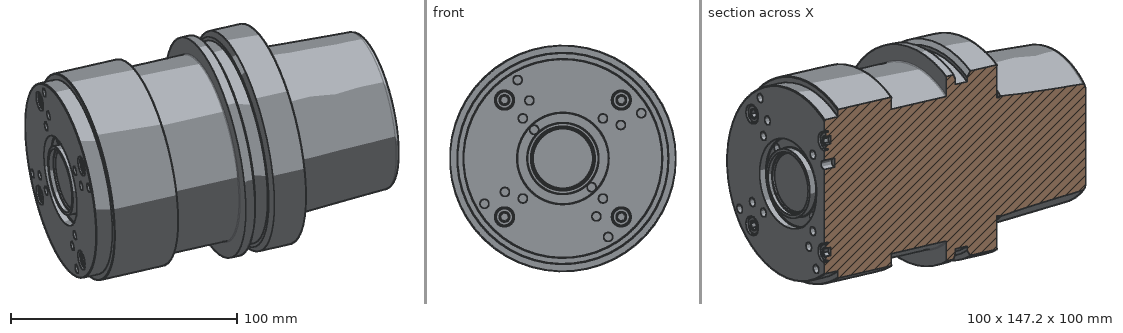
import cadquery as cq
import math

LENGTH = 147.2
Y_FACE = -LENGTH / 2

FACE_DIA = 88.2
COLLAR_DIA = 93.6
NECK_DIA = 84.6
FLANGE_DIA = 100.0
GROOVE_DIA = 92.0
RELIEF_DIA = 75.2
TAPER_BASE_DIA = 76.0
TAPER_RATIO = 0.1

COLLAR_START = 7.7
COLLAR_END = 38.0
FLANGE_START = 68.6
GROOVE_START = 73.9
GROOVE_END = 80.4
FLANGE_END = 97.3
RELIEF_END = 98.2
TAPER_START = 99.0
TAPER_END = 145.1

EDGE = 0.3
ROOT_FILLET = 0.5
GROOVE_CHAMFER_FRONT = (1.0, 1.9)
GROOVE_CHAMFER_REAR = (1.8, 2.4)

RECESS_DIA = 40.8
BOSS_DIA = 31.2
RECESS_DEPTH = 3.7
RECESS_FLOOR_CHAMFER = 0.3
BORE_DIA = 28.5
BORE_STEP_DEPTH = 2.0
BORE_SEAT_DIA = 27.4
BORE_FLOOR_DIA = 26.3
BORE_DEPTH = 2.8

HOLE_DIA = 4.0
HOLE_DEPTH = 5.9
HOLE_CIRCLES = [
    (40.0, 30, 4, 0),
    (29.6, 30, 4, 0),
    (25.0, 45, 4, 0),
    (18.0, 135, 2, RECESS_DEPTH),
]

SCREW_PITCH_RADIUS = 36.5
SCREW_ANGLE = 45
SCREW_COUNT = 4
COUNTERBORE_DIA = 8.7
COUNTERBORE_DEPTH = 2.2
HEAD_DIA = 8.0
HEAD_SINK = 0.7
HEAD_CHAMFER = 0.3
SOCKET_MOUTH_DIA = 4.5
SOCKET_MOUTH_DEPTH = 0.3
SOCKET_CORNER_DIA = 4.0
SOCKET_DEPTH = 3.0


def turned_body():
    """Half profile (radius, distance from the face) revolved about the axis."""
    taper_end_radius = (TAPER_BASE_DIA - TAPER_RATIO * (TAPER_END - TAPER_START)) / 2
    end_round = LENGTH - TAPER_END
    front_axial, front_radial = GROOVE_CHAMFER_FRONT
    rear_axial, rear_radial = GROOVE_CHAMFER_REAR
    flange_radius = FLANGE_DIA / 2
    collar_radius = COLLAR_DIA / 2
    round_middle = end_round * math.sqrt(0.5)

    profile = (
        cq.Workplane("XY", origin=(0, Y_FACE, 0))
        .moveTo(0, 0)
        .lineTo(FACE_DIA / 2 - EDGE, 0)
        .lineTo(FACE_DIA / 2, EDGE)
        .lineTo(FACE_DIA / 2, COLLAR_START)
        .lineTo(collar_radius - EDGE, COLLAR_START)
        .lineTo(collar_radius, COLLAR_START + EDGE)
        .lineTo(collar_radius, COLLAR_END - EDGE)
        .lineTo(collar_radius - EDGE, COLLAR_END)
        .lineTo(NECK_DIA / 2, COLLAR_END)
        .lineTo(NECK_DIA / 2, FLANGE_START - ROOT_FILLET)
        .radiusArc((NECK_DIA / 2 + ROOT_FILLET, FLANGE_START), ROOT_FILLET)
        .lineTo(flange_radius, FLANGE_START)
        .lineTo(flange_radius, GROOVE_START - front_axial)
        .lineTo(flange_radius - front_radial, GROOVE_START)
        .lineTo(GROOVE_DIA / 2, GROOVE_START)
        .lineTo(GROOVE_DIA / 2, GROOVE_END)
        .lineTo(flange_radius - rear_radial, GROOVE_END)
        .lineTo(flange_radius, GROOVE_END + rear_axial)
        .lineTo(flange_radius, FLANGE_END - EDGE)
        .lineTo(flange_radius - EDGE, FLANGE_END)
        .lineTo(RELIEF_DIA / 2, FLANGE_END)
        .lineTo(RELIEF_DIA / 2, RELIEF_END)
        .lineTo(TAPER_BASE_DIA / 2, TAPER_START)
        .lineTo(taper_end_radius, TAPER_END)
        .threePointArc(
            (taper_end_radius - end_round + round_middle, TAPER_END + round_middle),
            (taper_end_radius - end_round, LENGTH),
        )
        .lineTo(0, LENGTH)
        .close()
    )
    return profile.revolve(360, (0, 0, 0), (0, 1, 0))


def face_plane(depth=0.0):
    """Workplane parallel to the working face, looking out of it, with X right and Z up."""
    return cq.Workplane("XZ", origin=(0, Y_FACE + depth, 0))


def ring_recess():
    recess = face_plane().circle(RECESS_DIA / 2).circle(BOSS_DIA / 2).extrude(-RECESS_DEPTH)
    return recess.faces(">Y").edges().chamfer(RECESS_FLOOR_CHAMFER)


def centre_bore():
    """Blind bore with a flat ledge and a conical seat leading down to the floor."""
    return (
        cq.Workplane("XY", origin=(0, Y_FACE, 0))
        .moveTo(0, 0)
        .lineTo(BORE_DIA / 2, 0)
        .lineTo(BORE_DIA / 2, BORE_STEP_DEPTH)
        .lineTo(BORE_SEAT_DIA / 2, BORE_STEP_DEPTH)
        .lineTo(BORE_FLOOR_DIA / 2, BORE_DEPTH)
        .lineTo(0, BORE_DEPTH)
        .close()
        .revolve(360, (0, 0, 0), (0, 1, 0))
    )


def hole_circle(radius, start_angle, count, mouth_depth):
    return (
        face_plane(mouth_depth)
        .polarArray(radius, start_angle, 360, count)
        .circle(HOLE_DIA / 2)
        .extrude(-HOLE_DEPTH)
    )


def screw_positions(depth=0.0):
    return face_plane(depth).polarArray(SCREW_PITCH_RADIUS, SCREW_ANGLE, 360, SCREW_COUNT)


def screw_cuts():
    """Counterbores less the screw heads, together with the sockets in the heads."""
    counterbores = screw_positions().circle(COUNTERBORE_DIA / 2).extrude(-COUNTERBORE_DEPTH)
    heads = screw_positions(HEAD_SINK).circle(HEAD_DIA / 2).extrude(HEAD_SINK - COUNTERBORE_DEPTH)
    heads = heads.faces("<Y").chamfer(HEAD_CHAMFER)
    mouths = screw_positions(HEAD_SINK).circle(SOCKET_MOUTH_DIA / 2).extrude(-SOCKET_MOUTH_DEPTH)
    sockets = screw_positions(HEAD_SINK).polygon(6, SOCKET_CORNER_DIA).extrude(-SOCKET_DEPTH)
    return counterbores.cut(heads).union(mouths).union(sockets)


result = turned_body().cut(ring_recess()).cut(centre_bore()).cut(screw_cuts())
for circle in HOLE_CIRCLES:
    result = result.cut(hole_circle(*circle))